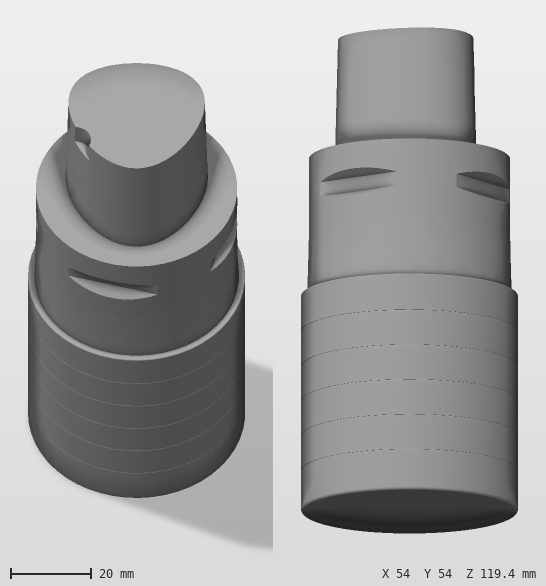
import cadquery as cq
import math

total_height = 119.4
shank_height = 30.0
flange_height = 20.1
ring_top = 54.8
shank_base = total_height - shank_height
flange_base = shank_base - flange_height

flange_radius = 50.0 / 2
cone_base_radius = 50.9 / 2

shank_mean_radius = 17.5
lobe_height = 1.1
lobe_count = 3
lobe_spacing = 360 / lobe_count
lobe_half_span = 28.5
edge_spans = 12
taper_slope = 1 / 40

key_radius = 4.1
key_depth = 5.6
key_back_y = -13.6

grip_count = 4
grip_start_angle = 45.0
grip_center_z = 79.4
grip_floor_distance = 22.2
grip_floor_height = 3.5
grip_wall_angle = 30.0
grip_tool_margin = 1.2

ring_count = 6
ring_radius = 54.0 / 2
ring_pitch = 8.8
bottom_ring_height = 10.3
top_ring_height = ring_top - bottom_ring_height - (ring_count - 2) * ring_pitch
ring_edge_radius = 0.2
bottom_edge_radius = 0.7


def lobe_wire(mean_radius, z):
    """Closed three-lobed curve at height z, with one edge per lobe and per flat."""

    def point(degrees):
        angle = math.radians(degrees)
        x = -mean_radius * math.sin(angle) + lobe_height * math.sin(2 * angle)
        y = mean_radius * math.cos(angle) + lobe_height * math.cos(2 * angle)
        return cq.Vector(x, y, z)

    def edge(start, end):
        step = (end - start) / edge_spans
        return cq.Edge.makeSpline([point(start + i * step) for i in range(edge_spans + 1)])

    edges = []
    for i in range(lobe_count):
        lobe_start = i * lobe_spacing - lobe_half_span
        lobe_end = i * lobe_spacing + lobe_half_span
        edges.append(edge(lobe_start, lobe_end))
        edges.append(edge(lobe_end, lobe_start + lobe_spacing))
    return cq.Wire.assembleEdges(edges)


def make_polygon_shank():
    top_radius = shank_mean_radius - shank_height * taper_slope
    base_wire = lobe_wire(shank_mean_radius, shank_base)
    top_wire = lobe_wire(top_radius, total_height)
    shank = cq.Workplane(cq.Solid.makeLoft([base_wire, top_wire], True))
    key_slot = (
        cq.Workplane("XY", origin=(0, key_back_y - key_radius, total_height - key_depth))
        .circle(key_radius)
        .extrude(key_depth)
    )
    return shank.cut(key_slot)


def make_flange():
    return (
        cq.Workplane("XZ")
        .moveTo(0, ring_top)
        .lineTo(cone_base_radius, ring_top)
        .lineTo(flange_radius, flange_base)
        .lineTo(flange_radius, shank_base)
        .lineTo(0, shank_base)
        .close()
        .revolve(360, (0, 0, 0), (0, 1, 0))
    )


def make_grip_cutter(angle):
    """Prism with a trapezoid section, widening outward from a flat floor."""
    outer_distance = flange_radius + grip_tool_margin
    reach = outer_distance - grip_floor_distance
    floor_half = grip_floor_height / 2
    outer_half = floor_half + reach * math.tan(math.radians(grip_wall_angle))
    return (
        cq.Workplane("XZ", origin=(0, 0, grip_center_z))
        .moveTo(grip_floor_distance, -floor_half)
        .lineTo(outer_distance, -outer_half)
        .lineTo(outer_distance, outer_half)
        .lineTo(grip_floor_distance, floor_half)
        .close()
        .extrude(flange_radius, both=True)
        .rotate((0, 0, 0), (0, 0, 1), angle)
    )


def make_holder():
    holder = make_flange().union(make_polygon_shank())
    for i in range(grip_count):
        angle = grip_start_angle + i * 360 / grip_count
        holder = holder.cut(make_grip_cutter(angle))
    return holder


def make_ring(base_z, height, is_bottom):
    """Solid disc with a softened upper rim; the bottom one also has a rounded lower rim."""
    disc = cq.Workplane("XY", origin=(0, 0, base_z)).circle(ring_radius).extrude(height)
    if is_bottom:
        disc = disc.faces("<Z").edges().fillet(bottom_edge_radius)
    return disc.faces(">Z").edges().fillet(ring_edge_radius)


def make_rings():
    heights = [bottom_ring_height] + [ring_pitch] * (ring_count - 2) + [top_ring_height]
    rings = []
    base_z = 0.0
    for i, height in enumerate(heights):
        ring = make_ring(base_z, height, is_bottom=(i == 0))
        rings.append(ring.val())
        base_z += height
    return rings


holder = make_holder()
rings = make_rings()
result = cq.Compound.makeCompound([holder.val(), *rings])